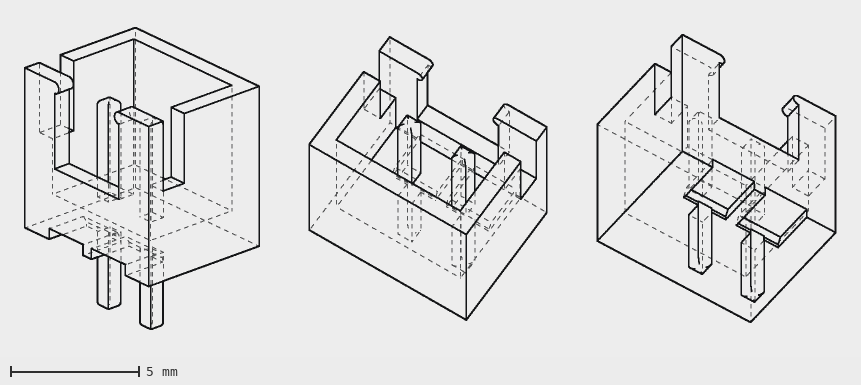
import cadquery as cq

HOUSING_WIDTH = 7.34
HOUSING_DEPTH = 5.75
HOUSING_BOTTOM = 3.22
TOTAL_HEIGHT = 10.08
HOUSING_HEIGHT = TOTAL_HEIGHT - HOUSING_BOTTOM

SIDE_WALL = 0.78
FRONT_WALL = 0.76
BACK_WALL = 0.76
CAVITY_DEPTH = 5.37

SIDE_SLOT_WIDTH = 1.1
SIDE_SLOT_DEPTH = 2.99

WINDOW_WIDTH = 3.8
WINDOW_DEPTH = 3.73
BUMP_RADIUS = 0.25

PIN_SIZE = 0.65
PIN_PITCH = 2.51
PIN_ROW_SHIFT = 0.03
PIN_FRONT = 1.92
PIN_TOP = 8.87
PIN_END_RADIUS = 0.19
PIN_CENTERS = [PIN_ROW_SHIFT - PIN_PITCH / 2, PIN_ROW_SHIFT + PIN_PITCH / 2]

RECESS_WIDTH = 2.0
RECESS_HEIGHT = 0.46
RECESS_REAR_HEIGHT = 0.17
RECESS_SLOPE_RUN = 0.16
RECESS_OVERLAP = 0.02
RECESS_DEPTH = PIN_FRONT + RECESS_OVERLAP


def block(width, depth, height, x, y, z):
    """Box centred on x, starting at y and z."""
    return cq.Workplane("XY").box(width, depth, height, centered=(True, False, False)).translate((x, y, z))


def top_cut(width, depth, y, drop):
    """Cutting block centred on X that reaches down from the housing top."""
    return block(width, depth, drop, 0, y, TOTAL_HEIGHT - drop)


def latch_bump(x):
    """Round bar across the front wall tangent to the housing top."""
    return (
        cq.Workplane("XZ")
        .center(x, TOTAL_HEIGHT - BUMP_RADIUS)
        .circle(BUMP_RADIUS)
        .extrude(-FRONT_WALL)
    )


def pin_recess(x):
    ceiling = HOUSING_BOTTOM + RECESS_HEIGHT
    profile = [
        (0, HOUSING_BOTTOM),
        (0, ceiling),
        (RECESS_DEPTH - RECESS_SLOPE_RUN, ceiling),
        (RECESS_DEPTH, HOUSING_BOTTOM + RECESS_REAR_HEIGHT),
        (RECESS_DEPTH, HOUSING_BOTTOM),
    ]
    return cq.Workplane("YZ", origin=(x, 0, 0)).polyline(profile).close().extrude(RECESS_WIDTH / 2, both=True)


def pin(x):
    bar = block(PIN_SIZE, PIN_SIZE, PIN_TOP, x, PIN_FRONT, 0)
    return bar.faces("<Z or >Z").edges().fillet(PIN_END_RADIUS)


cavity_length = HOUSING_DEPTH - FRONT_WALL - BACK_WALL
housing = block(HOUSING_WIDTH, HOUSING_DEPTH, HOUSING_HEIGHT, 0, 0, HOUSING_BOTTOM)
housing = housing.cut(top_cut(HOUSING_WIDTH - 2 * SIDE_WALL, cavity_length, FRONT_WALL, CAVITY_DEPTH))
housing = housing.cut(top_cut(HOUSING_WIDTH, SIDE_SLOT_WIDTH, FRONT_WALL, SIDE_SLOT_DEPTH))
housing = housing.cut(top_cut(WINDOW_WIDTH, FRONT_WALL, 0, WINDOW_DEPTH))

for side in (-1, 1):
    housing = housing.union(latch_bump(side * WINDOW_WIDTH / 2))

for center in PIN_CENTERS:
    housing = housing.cut(pin_recess(center))

result = housing
for center in PIN_CENTERS:
    result = result.union(pin(center))